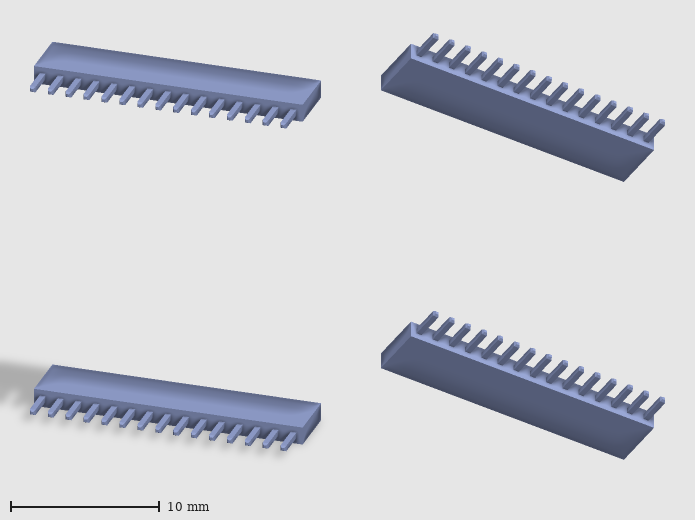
import cadquery as cq

pin_count = 15
pitch = 1.27
overall_depth = 6.32
overall_height = 25.4

housing_length = pin_count * pitch
housing_height = pitch
housing_depth = 3.95

pin_half_width = 0.2
pin_width = 2 * pin_half_width
tip_length = 0.18
tip_inset = 0.1
tip_width = pin_width - 2 * tip_inset
pin_length = overall_depth - housing_depth
shank_length = pin_length - tip_length

housing_back = overall_depth / 2
housing_front = housing_back - housing_depth
shank_end = housing_front - shank_length
strip_offset = (overall_height - housing_height) / 2


def make_housing():
    """Plain rectangular block centred on X and Z."""
    return cq.Workplane("XY").box(housing_length, housing_depth, housing_height).translate(
        (0, housing_front + housing_depth / 2, 0)
    )


def make_pin(x):
    """Square shank on the front face of the housing, ending in a tapered tip."""
    shank = (
        cq.Workplane("XZ", origin=(x, housing_front, 0))
        .rect(pin_width, pin_width)
        .extrude(shank_length)
    )
    tip = (
        cq.Workplane("XZ", origin=(x, shank_end, 0))
        .rect(pin_width, pin_width)
        .workplane(offset=tip_length)
        .rect(tip_width, tip_width)
        .loft(ruled=True)
    )
    return shank.union(tip)


def make_strip(z):
    """Housing and its row of pins as one solid, centred at height z."""
    strip = make_housing()
    first_pin_x = -(pin_count - 1) * pitch / 2
    for index in range(pin_count):
        strip = strip.union(make_pin(first_pin_x + index * pitch))
    return strip.translate((0, 0, z))


strips = []
for strip_z in (-strip_offset, strip_offset):
    strips.append(make_strip(strip_z).solids().val())

result = cq.Compound.makeCompound(strips)